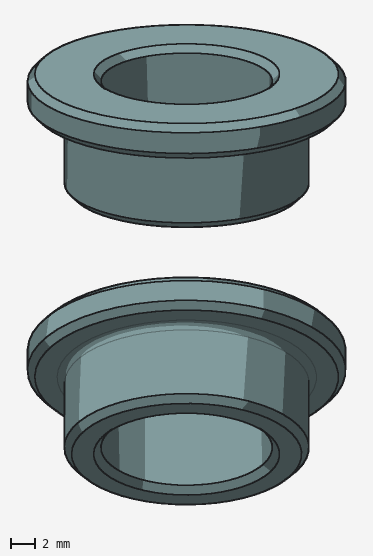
import cadquery as cq
import math

flange_diameter = 26.0
barrel_diameter = 20.0
bore_diameter = 14.0
total_height = 10.0
flange_thickness = 3.0
edge_chamfer = 0.6
neck_fillet = 0.6

flange_radius = flange_diameter / 2
barrel_radius = barrel_diameter / 2
bore_radius = bore_diameter / 2
barrel_height = total_height - flange_thickness

fillet_offset = neck_fillet * (1 - math.sqrt(0.5))
fillet_middle = (barrel_radius + fillet_offset, barrel_height - fillet_offset)

half_section = (
    cq.Workplane("XZ")
    .moveTo(bore_radius, edge_chamfer)
    .lineTo(bore_radius + edge_chamfer, 0)
    .lineTo(barrel_radius - edge_chamfer, 0)
    .lineTo(barrel_radius, edge_chamfer)
    .lineTo(barrel_radius, barrel_height - neck_fillet)
    .threePointArc(fillet_middle, (barrel_radius + neck_fillet, barrel_height))
    .lineTo(flange_radius - edge_chamfer, barrel_height)
    .lineTo(flange_radius, barrel_height + edge_chamfer)
    .lineTo(flange_radius, total_height - edge_chamfer)
    .lineTo(flange_radius - edge_chamfer, total_height)
    .lineTo(bore_radius + edge_chamfer, total_height)
    .lineTo(bore_radius, total_height - edge_chamfer)
    .close()
)

result = half_section.revolve(360, (0, 0, 0), (0, 1, 0))